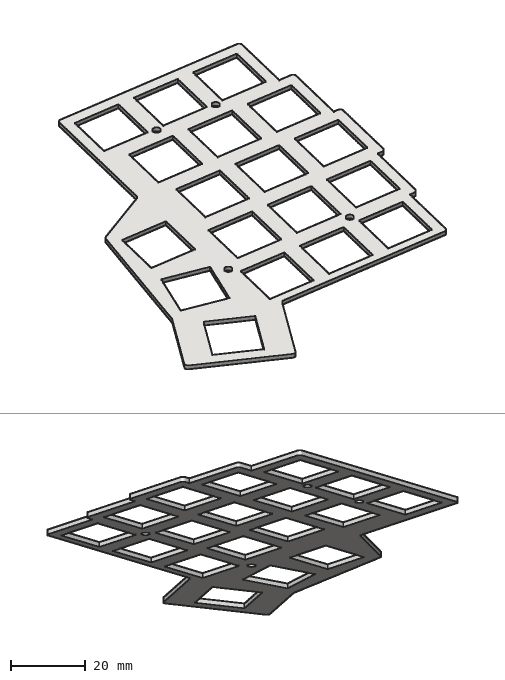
import cadquery as cq
import math

length = 116.1
thickness = 1.4
pitch = 19.0
cutout = 14.0
margin = 0.8
rows = 3
corner_radius = 0.9
step_margin = 1.0
hole_diameter = 2.2

half_key = pitch / 2
border = half_key + margin

stagger_step = 2.38
stagger_counts = [0, 2, 3, 2, 1]
first_x = border
first_y = 38.8
columns = [
    (first_x + i * pitch, first_y + count * stagger_step)
    for i, count in enumerate(stagger_counts)
]

outer_thumb_angle = -24
inner_thumb = (58.0, 22.1, 0)
middle_thumb = (78.8, 20.0, -12)
outer_thumb_half_height = 0.75 * pitch + margin

turn_cos = math.cos(math.radians(outer_thumb_angle))
turn_sin = math.sin(math.radians(outer_thumb_angle))
rounding_loss = corner_radius * (turn_cos - turn_sin - 1)
outer_thumb_reach = border * turn_cos - outer_thumb_half_height * turn_sin - rounding_loss
outer_thumb = (length - outer_thumb_reach, 17.6, outer_thumb_angle)

bottom_edge_end = 38.4

left_hole_x = 17.9
right_hole_x = 77.0
left_hole_upper_y = first_y + 1.5 * pitch
left_hole_lower_y = first_y + 0.5 * pitch
right_hole_upper_y = 71.0
right_hole_lower_y = 31.8
hole_points = [
    (left_hole_x, left_hole_upper_y),
    (left_hole_x, left_hole_lower_y),
    (right_hole_x, right_hole_upper_y),
    (right_hole_x, right_hole_lower_y),
]


def outer_thumb_point(along, across):
    """Plate position of a point given in the outer thumb key's turned frame."""
    x, y, _ = outer_thumb
    return (
        x + along * turn_cos - across * turn_sin,
        y + along * turn_sin + across * turn_cos,
    )


def column_top(index):
    return columns[index][1] + (rows - 1) * pitch + border


def plate():
    right_edge = columns[4][0] + half_key
    thumb_top_right = outer_thumb_point(border, outer_thumb_half_height)
    thumb_slope = math.tan(math.radians(outer_thumb_angle))
    inside_corner_y = thumb_top_right[1] + (right_edge - thumb_top_right[0]) * thumb_slope
    bottom = first_y - border

    step_reach = half_key + step_margin
    step_edges = [
        columns[1][0] - step_reach,
        columns[2][0] - step_reach,
        columns[2][0] + step_reach,
        columns[3][0] + step_reach,
    ]

    outline = [(0, bottom), (0, column_top(0))]
    sharp_corners = []
    for index, x in enumerate(step_edges):
        sharp_corners.append((x, min(column_top(index), column_top(index + 1))))
        outline.append((x, column_top(index)))
        outline.append((x, column_top(index + 1)))
    outline += [
        (right_edge, column_top(4)),
        (right_edge, inside_corner_y),
        thumb_top_right,
        outer_thumb_point(border, -outer_thumb_half_height),
        outer_thumb_point(-half_key, -outer_thumb_half_height),
        (inner_thumb[0] - border, inner_thumb[1] - border),
        (bottom_edge_end, bottom),
    ]
    body = cq.Workplane("XY").polyline(outline).close().extrude(thickness)

    rounded_edges = []
    for edge in body.edges("|Z").vals():
        centre = edge.Center()
        clearance = min(math.dist((centre.x, centre.y), corner) for corner in sharp_corners)
        if clearance > corner_radius / 2:
            rounded_edges.append(edge)
    return body.newObject(rounded_edges).fillet(corner_radius)


def switch_opening(x, y, angle):
    return (
        cq.Workplane("XY")
        .rect(cutout, cutout)
        .extrude(thickness)
        .rotate((0, 0, 0), (0, 0, 1), angle)
        .translate((x, y, 0))
    )


keys = [(x, y + row * pitch, 0) for x, y in columns for row in range(rows)]
keys += [inner_thumb, middle_thumb, outer_thumb]

result = plate()
for key in keys:
    result = result.cut(switch_opening(*key))

holes = cq.Workplane("XY").pushPoints(hole_points).circle(hole_diameter / 2).extrude(thickness)
result = result.cut(holes)